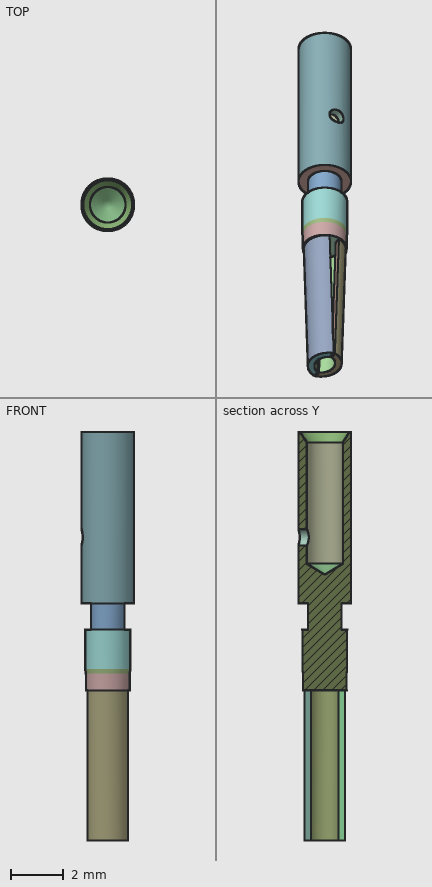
import cadquery as cq
import math

TOTAL_LENGTH = 15.5
BARREL_LENGTH = 6.5
NECK_LENGTH = 1.0
COLLAR_LENGTH = 1.5
TAPER_LENGTH = 0.18
BAND_LENGTH = 0.62

BARREL_BOTTOM = TOTAL_LENGTH - BARREL_LENGTH
NECK_BOTTOM = BARREL_BOTTOM - NECK_LENGTH
COLLAR_BOTTOM = NECK_BOTTOM - COLLAR_LENGTH
TAPER_BOTTOM = COLLAR_BOTTOM - TAPER_LENGTH
BAND_BOTTOM = TAPER_BOTTOM - BAND_LENGTH

BARREL_RADIUS = 1.0
NECK_RADIUS = 0.64
COLLAR_RADIUS = 0.86
BAND_RADIUS = 0.835
TINE_RADIUS = 0.8
SOCKET_RADIUS = 0.55

BORE_RADIUS = 0.675
MOUTH_RADIUS = 0.93
MOUTH_DEPTH = 0.4
BORE_DEPTH = 5.0
DRILL_POINT_ANGLE = 118.0
DRILL_POINT_DEPTH = BORE_RADIUS / math.tan(math.radians(DRILL_POINT_ANGLE / 2))

INSPECTION_RADIUS = 0.3
INSPECTION_DROP = 4.0

SLOT_WIDTH = 0.4
TIP_GAP = 0.05


def make_body():
    """Turned body: barrel, neck, collar, taper and band."""
    profile = [
        (0, TOTAL_LENGTH),
        (BARREL_RADIUS, TOTAL_LENGTH),
        (BARREL_RADIUS, BARREL_BOTTOM),
        (NECK_RADIUS, BARREL_BOTTOM),
        (NECK_RADIUS, NECK_BOTTOM),
        (COLLAR_RADIUS, NECK_BOTTOM),
        (COLLAR_RADIUS, COLLAR_BOTTOM),
        (BAND_RADIUS, TAPER_BOTTOM),
        (BAND_RADIUS, BAND_BOTTOM),
        (0, BAND_BOTTOM),
    ]
    return cq.Workplane("XZ").polyline(profile).close().revolve(360, (0, 0), (0, 1))


def make_bore():
    """Blind wire bore, as a solid to cut away."""
    bore_bottom = TOTAL_LENGTH - BORE_DEPTH
    profile = [
        (0, TOTAL_LENGTH),
        (MOUTH_RADIUS, TOTAL_LENGTH),
        (BORE_RADIUS, TOTAL_LENGTH - MOUTH_DEPTH),
        (BORE_RADIUS, bore_bottom),
        (0, bore_bottom - DRILL_POINT_DEPTH),
    ]
    return cq.Workplane("XZ").polyline(profile).close().revolve(360, (0, 0), (0, 1))


def make_inspection_hole():
    """Radial hole from the axis out through the -X side."""
    return (
        cq.Workplane("YZ")
        .center(0, TOTAL_LENGTH - INSPECTION_DROP)
        .circle(INSPECTION_RADIUS)
        .extrude(-BARREL_RADIUS)
    )


def tine_section(height, inner_y):
    """Outline across the +Y tine: a ring cut off by the slot wall, which lies at inner_y."""
    slot_wall = SLOT_WIDTH / 2
    axis_y = inner_y - slot_wall
    outer_x = math.sqrt(TINE_RADIUS**2 - slot_wall**2)
    socket_x = math.sqrt(SOCKET_RADIUS**2 - slot_wall**2)
    return (
        cq.Workplane("XY")
        .workplane(offset=height)
        .moveTo(-outer_x, inner_y)
        .threePointArc((0, axis_y + TINE_RADIUS), (outer_x, inner_y))
        .lineTo(socket_x, inner_y)
        .threePointArc((0, axis_y + SOCKET_RADIUS), (-socket_x, inner_y))
        .close()
        .wire()
        .val()
    )


def make_tine():
    """The +Y tine, leaning inward so that the slot narrows to the tip gap."""
    root = tine_section(BAND_BOTTOM, SLOT_WIDTH / 2)
    tip = tine_section(0, TIP_GAP / 2)
    return cq.Workplane(cq.Solid.makeLoft([root, tip], True))


tine = make_tine()
result = (
    make_body()
    .cut(make_bore())
    .cut(make_inspection_hole())
    .union(tine)
    .union(tine.mirror("XZ"))
)